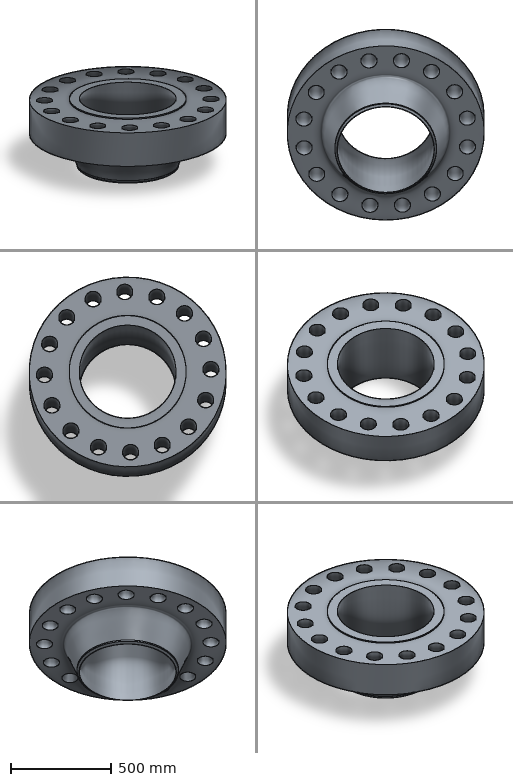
import cadquery as cq
import math

flange_diameter = 984.25
flange_thickness = 177.8
total_height = 361.95

face_diameter = 584.2
face_height = 6.35

neck_root_diameter = 641.35
neck_end_diameter = 508.0
neck_root_fillet = 20.0
neck_land_height = 8.0
weld_bevel_height = 8.5
weld_bevel_depth = 11.0

bore_diameter = 482.6

bolt_count = 16
bolt_circle_diameter = 831.85
bolt_hole_diameter = 79.375

land_bottom_z = weld_bevel_height
land_top_z = land_bottom_z + neck_land_height
flange_top_z = total_height - face_height
flange_bottom_z = flange_top_z - flange_thickness


def root_fillet_points():
    """Start, middle and end (radius, z) of the arc joining the neck cone to the plate."""
    cone_run = (neck_root_diameter - neck_end_diameter) / 2
    cone_rise = flange_bottom_z - land_top_z
    taper = math.atan2(cone_run, cone_rise)
    sweep = math.pi / 2 - taper
    tangent_length = neck_root_fillet * math.tan(sweep / 2)
    root_radius = neck_root_diameter / 2

    start = (
        root_radius - tangent_length * math.sin(taper),
        flange_bottom_z - tangent_length * math.cos(taper),
    )
    end = (root_radius + tangent_length, flange_bottom_z)
    centre_z = flange_bottom_z - neck_root_fillet
    middle = (
        end[0] - neck_root_fillet * math.sin(sweep / 2),
        centre_z + neck_root_fillet * math.cos(sweep / 2),
    )
    return start, middle, end


def flange_body():
    """Plate, raised face, neck and bore as one revolved profile."""
    fillet_start, fillet_middle, fillet_end = root_fillet_points()
    bore_radius = bore_diameter / 2
    neck_end_radius = neck_end_diameter / 2
    flange_radius = flange_diameter / 2
    face_radius = face_diameter / 2

    return (
        cq.Workplane("XZ")
        .moveTo(bore_radius, 0)
        .lineTo(neck_end_radius - weld_bevel_depth, 0)
        .lineTo(neck_end_radius, land_bottom_z)
        .lineTo(neck_end_radius, land_top_z)
        .lineTo(*fillet_start)
        .threePointArc(fillet_middle, fillet_end)
        .lineTo(flange_radius, flange_bottom_z)
        .lineTo(flange_radius, flange_top_z)
        .lineTo(face_radius, flange_top_z)
        .lineTo(face_radius, total_height)
        .lineTo(bore_radius, total_height)
        .close()
        .revolve(360, (0, 0, 0), (0, 1, 0))
    )


def bolt_holes():
    """Cylinders that cut the ring of bolt holes through the plate."""
    return (
        cq.Workplane("XY", origin=(0, 0, flange_bottom_z))
        .polarArray(bolt_circle_diameter / 2, 0, 360, bolt_count)
        .circle(bolt_hole_diameter / 2)
        .extrude(flange_thickness)
    )


result = flange_body().cut(bolt_holes())